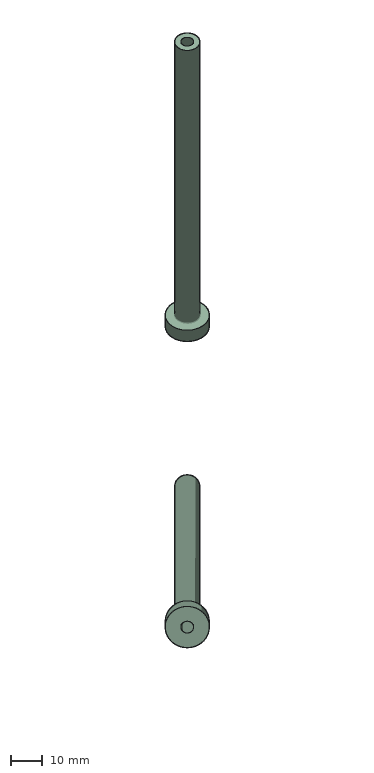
import cadquery as cq

total_length = 125.0
head_diameter = 14.0
head_height = 5.0
shaft_diameter = 8.0
bore_diameter = 4.0
neck_fillet = 0.5


def sleeve_body():
    """Round head with the long shaft standing on it, blended by a small fillet."""
    head_radius = head_diameter / 2
    shaft_radius = shaft_diameter / 2
    profile = (
        cq.Workplane("XZ")
        .lineTo(head_radius, 0)
        .lineTo(head_radius, head_height)
        .lineTo(shaft_radius + neck_fillet, head_height)
        .radiusArc((shaft_radius, head_height + neck_fillet), neck_fillet)
        .lineTo(shaft_radius, total_length)
        .lineTo(0, total_length)
        .close()
    )
    return profile.revolve(360, (0, 0), (0, 1))


bore = cq.Workplane("XY").circle(bore_diameter / 2).extrude(total_length)

result = sleeve_body().cut(bore)